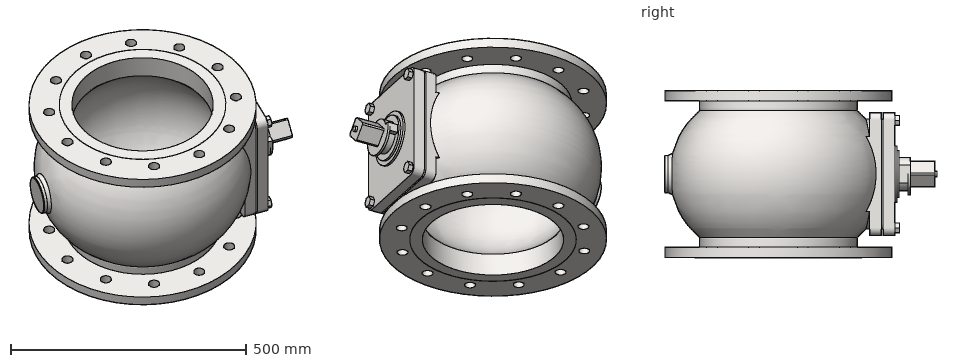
import cadquery as cq
import math


TOTAL_LENGTH = 579.5
TOTAL_HEIGHT = 356.0
STEM_TIP_Y = 337.5
BOSS_FACE_Y = STEM_TIP_Y - TOTAL_LENGTH

FLANGE_DIAMETER = 483.0
FLANGE_THICKNESS = 22.0
RAISED_FACE_DIAMETER = 354.0
RAISED_FACE_HEIGHT = 0.5
NECK_DIAMETER = 336.0
NECK_END_Z = 138.5
BOLT_COUNT = 12
BOLT_CIRCLE_DIAMETER = 400.0
BOLT_HOLE_DIAMETER = 23.0

BODY_RADIUS = 231.0
BODY_END_RADIUS = 167.5
BODY_END_Z = 135.0
BORE_DIAMETER = 300.0
CAVITY_RADIUS = 207.0
CAVITY_END_Z = 127.0
CAVITY_FLAT_Y = 191.5

BOSS_DIAMETER = 80.0
BOSS_ROOT_DIAMETER = 90.5
BOSS_ROOT_Y = -222.5
BOSS_STRAIGHT_Y = -234.0
BOSS_CHAMFER = 2.0

PLATE_WIDTH = 200.5
PLATE_HEIGHT = 261.5
PLATE_CORNER_RADIUS = 15.5
PLATE_THICKNESS = 25.0
PLATE_GAP = 3.5
PLATE_START_Y = 194.0
SPIGOT_DIAMETER = 234.0
SPIGOT_BLOCK_HEIGHT = 159.0
SPIGOT_START_Y = 162.5
GASKET_INSET = 14.0
GASKET_CORNER_RADIUS = 11.5
COVER_FACE_Y = PLATE_START_Y + 2 * PLATE_THICKNESS + PLATE_GAP

SCREW_SPACING_X = 169.0
SCREW_SPACING_Z = 228.5
SCREW_HEAD_FLATS = 21.5
SCREW_HEAD_HEIGHT = 10.5

GLAND_DISC_DIAMETERS = (120.0, 100.0)
GLAND_DISC_THICKNESS = 4.5
COLLAR_DIAMETER = 71.5
COLLAR_LENGTH = 18.5
STOP_DIAMETER = 90.0
STOP_RADIUS = STOP_DIAMETER / 2
STOP_THICKNESS = 5.0
LEFT_LUG_HEIGHT = 19.0
RIGHT_LUG_HEIGHT = 2 * LEFT_LUG_HEIGHT

STEM_SQUARE = 42.5
STEM_EDGE_CHAMFER = 3.5
PIN_DIAMETER = 12.0
PIN_LENGTH = 4.5


def plane_at(y):
    """Sketch plane facing +Y: local x is -X, local y is +Z."""
    return cq.Workplane(cq.Plane(origin=(0, y, 0), xDir=(-1, 0, 0), normal=(0, 1, 0)))


def disc(diameter, y, length):
    return plane_at(y).circle(diameter / 2).extrude(length)


def revolve_about_z(profile):
    """Close an XZ half-section and spin it about Z."""
    return profile.close().revolve(360, (0, 0, 0), (0, 1, 0))


def body():
    """Barrel with a neck and a drilled, raised-face flange at each end."""
    half_height = TOTAL_HEIGHT / 2
    flange_bottom = half_height - RAISED_FACE_HEIGHT - FLANGE_THICKNESS
    neck_radius = NECK_DIAMETER / 2
    barrel = revolve_about_z(
        cq.Workplane("XZ")
        .moveTo(0, -flange_bottom)
        .lineTo(neck_radius, -flange_bottom)
        .lineTo(neck_radius, -NECK_END_Z)
        .lineTo(BODY_END_RADIUS, -BODY_END_Z)
        .threePointArc((BODY_RADIUS, 0), (BODY_END_RADIUS, BODY_END_Z))
        .lineTo(neck_radius, NECK_END_Z)
        .lineTo(neck_radius, flange_bottom)
        .lineTo(0, flange_bottom)
    )
    flange = (
        cq.Workplane("XY", origin=(0, 0, flange_bottom))
        .circle(FLANGE_DIAMETER / 2)
        .extrude(FLANGE_THICKNESS)
        .faces(">Z")
        .workplane()
        .circle(RAISED_FACE_DIAMETER / 2)
        .extrude(RAISED_FACE_HEIGHT)
    )
    first_hole_angle = 180 / BOLT_COUNT
    holes = (
        cq.Workplane("XY", origin=(0, 0, flange_bottom))
        .polarArray(BOLT_CIRCLE_DIAMETER / 2, first_hole_angle, 360, BOLT_COUNT)
        .circle(BOLT_HOLE_DIAMETER / 2)
        .extrude(FLANGE_THICKNESS)
    )
    flange = flange.cut(holes)
    return barrel.union(flange).union(flange.mirror("XY"))


def cavity():
    """Straight bore opening into a bulged chamber that is flat on the bonnet side."""
    bore_radius = BORE_DIAMETER / 2
    top = TOTAL_HEIGHT / 2
    chamber = revolve_about_z(
        cq.Workplane("XZ")
        .moveTo(0, -top)
        .lineTo(bore_radius, -top)
        .lineTo(bore_radius, -CAVITY_END_Z)
        .threePointArc((CAVITY_RADIUS, 0), (bore_radius, CAVITY_END_Z))
        .lineTo(bore_radius, top)
        .lineTo(0, top)
    )
    beyond_flat = plane_at(CAVITY_FLAT_Y).rect(TOTAL_HEIGHT, TOTAL_HEIGHT).extrude(BODY_RADIUS)
    return chamber.cut(beyond_flat)


def boss():
    """Round boss on -Y, flared at its root and chamfered at its face."""
    radius = BOSS_DIAMETER / 2
    return (
        cq.Workplane("XY")
        .lineTo(0, BOSS_FACE_Y)
        .lineTo(radius - BOSS_CHAMFER, BOSS_FACE_Y)
        .lineTo(radius, BOSS_FACE_Y + BOSS_CHAMFER)
        .lineTo(radius, BOSS_STRAIGHT_Y)
        .lineTo(BOSS_ROOT_DIAMETER / 2, BOSS_ROOT_Y)
        .lineTo(BOSS_ROOT_DIAMETER / 2, 0)
        .close()
        .revolve(360, (0, 0, 0), (0, 1, 0))
    )


def rounded_plate(width, height, corner_radius, y, thickness):
    return plane_at(y).rect(width, height).extrude(thickness).edges("|Y").fillet(corner_radius)


def bonnet():
    spigot_length = PLATE_START_Y - SPIGOT_START_Y
    spigot = disc(SPIGOT_DIAMETER, SPIGOT_START_Y, spigot_length)
    block = plane_at(SPIGOT_START_Y).rect(PLATE_WIDTH, SPIGOT_BLOCK_HEIGHT).extrude(spigot_length)
    gasket_y = PLATE_START_Y + PLATE_THICKNESS
    gasket = rounded_plate(
        PLATE_WIDTH - 2 * GASKET_INSET,
        PLATE_HEIGHT - 2 * GASKET_INSET,
        GASKET_CORNER_RADIUS,
        gasket_y,
        PLATE_GAP,
    )
    parts = spigot.union(block).union(gasket)
    for y in (PLATE_START_Y, gasket_y + PLATE_GAP):
        plate = rounded_plate(PLATE_WIDTH, PLATE_HEIGHT, PLATE_CORNER_RADIUS, y, PLATE_THICKNESS)
        parts = parts.union(plate)
    corner_diameter = SCREW_HEAD_FLATS / math.cos(math.pi / 6)
    heads = (
        plane_at(COVER_FACE_Y)
        .rect(SCREW_SPACING_X, SCREW_SPACING_Z, forConstruction=True)
        .vertices()
        .polygon(6, corner_diameter)
        .extrude(SCREW_HEAD_HEIGHT)
    )
    return parts.union(heads)


def lug(side, y, length, bottom_z, top_z):
    """Block from the stem axis out to the stop radius; side is -1 or +1 along X."""
    return (
        cq.Workplane("XY")
        .box(STOP_RADIUS, length, top_z - bottom_z, centered=(True, False, False))
        .translate((side * STOP_RADIUS / 2, y, bottom_z))
    )


def gland_and_stem():
    y = COVER_FACE_Y
    parts = cq.Workplane("XY")
    for diameter in GLAND_DISC_DIAMETERS:
        parts = parts.add(disc(diameter, y, GLAND_DISC_THICKNESS))
        y += GLAND_DISC_THICKNESS
    parts = parts.combine()

    stop_y = y + COLLAR_LENGTH
    stem_y = stop_y + STOP_THICKNESS
    parts = parts.union(disc(COLLAR_DIAMETER, y, stem_y - y))
    for side, height in ((-1, LEFT_LUG_HEIGHT), (1, RIGHT_LUG_HEIGHT)):
        half_height = height / 2
        parts = parts.union(lug(side, y, COLLAR_LENGTH, -half_height, half_height))
        parts = parts.union(lug(side, stop_y, STOP_THICKNESS, 0, half_height))
    lower_half = (
        plane_at(stop_y)
        .moveTo(-STOP_RADIUS, 0)
        .threePointArc((0, -STOP_RADIUS), (STOP_RADIUS, 0))
        .close()
        .extrude(STOP_THICKNESS)
    )
    stem_end_y = STEM_TIP_Y - PIN_LENGTH
    stem = (
        plane_at(stem_y)
        .rect(STEM_SQUARE, STEM_SQUARE)
        .extrude(stem_end_y - stem_y)
        .edges("|Y")
        .chamfer(STEM_EDGE_CHAMFER)
        .rotate((0, 0, 0), (0, 1, 0), 45)
    )
    pin = disc(PIN_DIAMETER, stem_end_y, PIN_LENGTH)
    return parts.union(lower_half).union(stem).union(pin)


result = body().union(boss()).union(bonnet()).cut(cavity()).union(gland_and_stem())